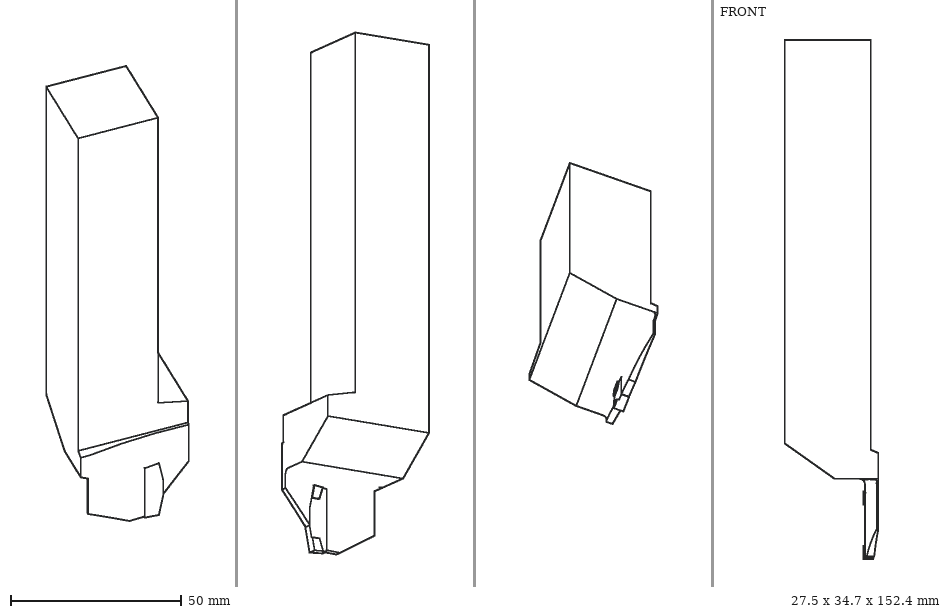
import cadquery as cq

total_height = 152.4
shank_width = 25.3
shank_depth = 25.3
head_width = 27.5
head_depth = 34.7
head_stock_width = 30.5
head_bottom_z = 23.6
slope_top_z = 34.0
slope_foot_x = 14.6
side_step_z = 32.2
side_step_drop = 0.9
shelf_top_z = 42.7
shelf_edge_z = 40.4

blade_inner_x = 23.5
blade_inner_radius = 82.3
blade_inner_tangent_y = 25.9
blade_outer_x = 25.9
blade_outer_radius = 225.5
blade_outer_tangent_y = 29.0
blade_front_y = 2.3
blade_flare_z = 22.4
blade_front_foot_z = 8.8
blade_bottom_z = 0.9
blade_bottom_y = 15.8
blade_back_z = 17.8
blade_root_radius = 1.5

insert_front_y = 20.7
insert_tip_y = 25.3
insert_back_y = 26.7
insert_length = 20.0
insert_end_relief = 0.5
insert_flank_height = 7.0
insert_mid_z = insert_length / 2
seat_foot_z = insert_flank_height + 0.6

cutting_end_height = 4.0
cutting_end_front_y = 22.4
cutting_end_inner_y = 23.6
cutting_end_min_x = 23.0
cutting_end_max_x = 25.9


def side_prism(points, min_x, max_x):
    """Extrude a (y, z) outline along X between two X positions."""
    return (
        cq.Workplane("YZ")
        .workplane(offset=min_x)
        .polyline(points)
        .close()
        .extrude(max_x - min_x)
    )


def blade_cylinder(lowest_x, tangent_y, radius):
    """Cylinder along Z whose lowest X lies at (lowest_x, tangent_y), up to the head step."""
    return (
        cq.Workplane("XY")
        .center(lowest_x + radius, tangent_y)
        .circle(radius)
        .extrude(side_step_z)
    )


inner_cylinder = blade_cylinder(blade_inner_x, blade_inner_tangent_y, blade_inner_radius)
outer_cylinder = blade_cylinder(blade_outer_x, blade_outer_tangent_y, blade_outer_radius)


def make_head_and_shank():
    front_outline = [
        (0, total_height),
        (0, slope_top_z),
        (slope_foot_x, head_bottom_z),
        (head_stock_width, head_bottom_z),
        (head_stock_width, side_step_z - side_step_drop),
        (head_width, side_step_z - side_step_drop),
        (shank_width, side_step_z),
        (shank_width, total_height),
    ]
    return cq.Workplane("XZ").polyline(front_outline).close().extrude(-head_depth)


def make_blade_wall():
    wall_block = cq.Workplane("XY").box(
        head_stock_width, head_depth, head_bottom_z, centered=False
    )
    return wall_block.intersect(inner_cylinder)


def make_holder(insert):
    body = make_head_and_shank().union(make_blade_wall())
    root_margin = 0.2
    root_corner = cq.selectors.BoxSelector(
        (blade_inner_x - root_margin, 0, head_bottom_z - root_margin),
        (head_stock_width - root_margin, head_depth, head_bottom_z + root_margin),
    )
    body = body.edges(root_corner).fillet(blade_root_radius)
    body = body.cut(outer_cylinder)
    side_outline = [
        (0, total_height),
        (0, head_bottom_z),
        (blade_front_y, blade_flare_z),
        (blade_front_y, blade_front_foot_z),
        (blade_bottom_y, blade_bottom_z),
        (insert_front_y, blade_bottom_z),
        (insert_back_y, seat_foot_z),
        (head_depth, blade_back_z),
        (head_depth, shelf_edge_z),
        (shank_depth, shelf_top_z),
        (shank_depth, total_height),
    ]
    return body.intersect(side_prism(side_outline, 0, head_width)).cut(insert)


def make_insert():
    core_outline = [
        (insert_front_y, insert_end_relief),
        (insert_tip_y, 0),
        (insert_back_y, insert_flank_height),
        (insert_back_y, insert_length - insert_flank_height),
        (insert_tip_y, insert_length),
        (insert_front_y, insert_length - insert_end_relief),
    ]
    core = side_prism(core_outline, 0, head_width).intersect(inner_cylinder).cut(outer_cylinder)

    flank_run = (insert_back_y - insert_tip_y) * cutting_end_height / insert_flank_height
    end_slope = insert_end_relief / (insert_tip_y - insert_front_y)
    end_outline = [
        (insert_tip_y, 0),
        (insert_tip_y + flank_run, cutting_end_height),
        (cutting_end_inner_y, cutting_end_height),
        (cutting_end_front_y, end_slope * (insert_tip_y - cutting_end_front_y)),
    ]
    lower_end = side_prism(end_outline, cutting_end_min_x, cutting_end_max_x)
    upper_end = lower_end.mirror("XY", (0, 0, insert_mid_z))
    return core.union(lower_end).union(upper_end)


insert = make_insert()
holder = make_holder(insert)

result = cq.Compound.makeCompound([holder.solids().val(), insert.solids().val()])